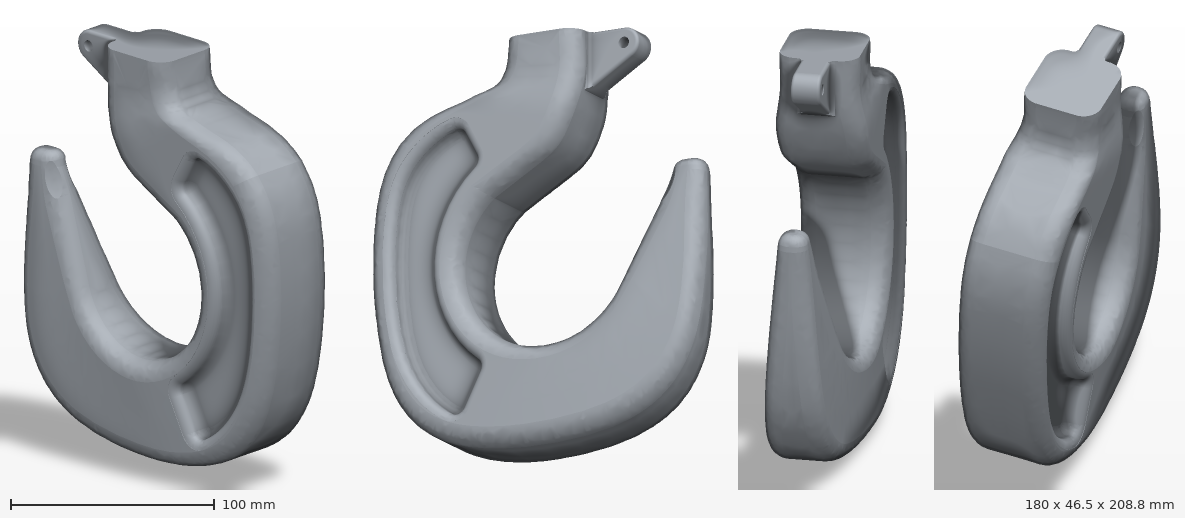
import cadquery as cq
import math


BOWL_RADIUS = 44.7
SHANK_TOP_Z = 114.2
SHANK_INNER_X = -21.3
SHANK_OUTER_X = 20.3
POINT_BASE_Z = 36.1
POINT_TOP_Z = 43.2
POINT_INNER_X = -65.4
POINT_OUTER_X = -84.1
BOWL_ENTRY = (28.2, 34.7)
SHOULDER = (79.3, 69.3)
SHOULDER_DIRECTION = (1, -1)
NOSE_ANGLE = math.radians(206)

EDGE_RADIUS = 9.4
FULL_HALF_THICKNESS = 23.2
SHANK_HALF_THICKNESS = 20.0
SHANK_FLARE_TOP_Z = 96.0
SHANK_FLARE_BOTTOM_Z = 77.3
POINT_HALF_THICKNESS = 7.7
TAPER_START = 0.48
TAPER_SAG = 0.2
THROAT_SECTIONS = 10
HOOK_SECTIONS = 24

POINT_TOP_INNER_X = -67.6
POINT_TOP_OUTER_X = -82.9
POINT_TOP_HALF_THICKNESS = 6.7
POINT_ROUNDING = 5.5
CORNER_SHARE = 0.93

DIMPLE_RADIUS = 31.3
DIMPLE_DEPTH = 1.3
DIMPLE_PLACE = cq.Vector(-66.0, -6.5, 31.3)
DIMPLE_DIRECTION = cq.Vector(0.65, -0.7, 0.29)

POCKET_DEPTH = 9.5
POCKET_ROUND = 4.5
POCKET_CORNER_RADIUS = 5.2
POCKET_RIM_STEP = 0.2
POCKET_MOUTH = 2.0
POCKET_BLOCK = 250.5

LUG_HALF_THICKNESS = 7.3
LUG_HOLE_DIAMETER = 5.8
LUG_END_RADIUS = 8.0
LUG_HOLE_X = -41.0
LUG_HOLE_Z = SHANK_TOP_Z - LUG_END_RADIUS
LUG_ROOT_X = SHANK_INNER_X + EDGE_RADIUS
LUG_SLOPE = math.radians(31)
LUG_EDGE_RADIUS = 1.7
LUG_ROOT_RADIUS = 2.0


def bowl_point(angle):
    return BOWL_RADIUS * math.cos(angle), BOWL_RADIUS * math.sin(angle)


def path(start):
    """Start a path of lines and arcs in the mid-plane."""
    return cq.Workplane("XZ").moveTo(*start)


def shank_curves():
    """Inner and outer outlines from the shank top to the start of the bowl."""
    inner = (
        path((SHANK_INNER_X, SHANK_TOP_Z))
        .lineTo(SHANK_INNER_X, 98.1)
        .spline([(-19.0, 80.4), (-12.7, 64.0), (1.3, 50.0)], tangents=[(0, -1), (2, -1)], includeCurrent=True)
        .lineTo(*BOWL_ENTRY)
        .wire()
        .val()
    )
    outer = (
        path((SHANK_OUTER_X, SHANK_TOP_Z))
        .lineTo(21.3, 104.0)
        .spline([(26.5, 91.9), (36.7, 87.7)], tangents=[(1, -7), (3, -1)], includeCurrent=True)
        .spline([(61.8, 80.5), SHOULDER], tangents=[(3, -1), SHOULDER_DIRECTION], includeCurrent=True)
        .wire()
        .val()
    )
    return inner, outer


def hook_curves():
    """Inner and outer outlines from the start of the bowl to the point."""
    inner = (
        path(BOWL_ENTRY)
        .threePointArc((0, -BOWL_RADIUS), bowl_point(NOSE_ANGLE))
        .lineTo(POINT_INNER_X, POINT_BASE_Z)
        .wire()
        .val()
    )
    outer_points = [
        SHOULDER,
        (89.5, 51.8),
        (94.2, 28.2),
        (95.0, 0.0),
        (92.0, -29.2),
        (83.7, -58.5),
        (67.5, -79.0),
        (36.3, -91.9),
        (0.0, -94.5),
        (-32.4, -91.0),
        (-59.0, -80.0),
        (-76.0, -59.7),
        (-83.5, -27.0),
        (-84.8, 1.5),
        (POINT_OUTER_X, POINT_BASE_Z),
    ]
    return inner, cq.Workplane("XZ").spline(outer_points).wire().val()


def shank_half_thickness(z):
    """Eases from the shank size above the flare to the full size below it."""
    run = (SHANK_FLARE_TOP_Z - z) / (SHANK_FLARE_TOP_Z - SHANK_FLARE_BOTTOM_Z)
    run = min(1, max(0, run))
    ease = run * run * (3 - 2 * run)
    return SHANK_HALF_THICKNESS + (FULL_HALF_THICKNESS - SHANK_HALF_THICKNESS) * ease


def hook_half_thickness(run):
    """Full round the back of the hook, then falling to the thin point."""
    nose_run = max(0, (run - TAPER_START) / (1 - TAPER_START))
    fall = nose_run * (1 - TAPER_SAG * (1 - nose_run))
    return FULL_HALF_THICKNESS - (FULL_HALF_THICKNESS - POINT_HALF_THICKNESS) * fall


def section_wire(inner, outer, half_thickness):
    """Rounded rectangle square to the mid-plane, spanning two points of it."""
    across = outer - inner
    plane = cq.Plane(origin=(inner + outer) / 2, xDir=across, normal=cq.Vector(across.z, 0, -across.x))
    radius = min(EDGE_RADIUS, CORNER_SHARE * half_thickness)
    outline = cq.Sketch().rect(across.Length, 2 * half_thickness).vertices().fillet(radius).reset()
    return outline.faces().val().moved(cq.Location(plane)).outerWire()


def make_branch(curves, count, half_thickness):
    """Loft along an inner and an outer outline; half_thickness takes (run, z)."""
    inner, outer = curves
    wires = []
    for step in range(count + 1):
        run = step / count
        start = inner.positionAt(run)
        end = outer.positionAt(run)
        wires.append(section_wire(start, end, half_thickness(run, (start.z + end.z) / 2)))
    return cq.Workplane(cq.Solid.makeLoft(wires))


def make_point():
    base = section_wire(
        cq.Vector(POINT_INNER_X, 0, POINT_BASE_Z),
        cq.Vector(POINT_OUTER_X, 0, POINT_BASE_Z),
        POINT_HALF_THICKNESS,
    )
    top = section_wire(
        cq.Vector(POINT_TOP_INNER_X, 0, POINT_TOP_Z),
        cq.Vector(POINT_TOP_OUTER_X, 0, POINT_TOP_Z),
        POINT_TOP_HALF_THICKNESS,
    )
    return cq.Workplane(cq.Solid.makeLoft([base, top], True)).faces(">Z").edges().fillet(POINT_ROUNDING)


def make_body():
    shank = make_branch(shank_curves(), THROAT_SECTIONS, lambda run, z: shank_half_thickness(z))
    hook = make_branch(hook_curves(), HOOK_SECTIONS, lambda run, z: hook_half_thickness(run))
    return shank.union(hook).union(make_point())


def lug_profile(half_thickness):
    """Plate with a round end and a sloping underside."""
    normal_x = -math.sin(LUG_SLOPE)
    normal_z = -math.cos(LUG_SLOPE)
    tangent_x = LUG_HOLE_X + LUG_END_RADIUS * normal_x
    tangent_z = LUG_HOLE_Z + LUG_END_RADIUS * normal_z
    root_z = tangent_z - (LUG_ROOT_X - tangent_x) * math.tan(LUG_SLOPE)
    return (
        cq.Workplane("XZ")
        .moveTo(LUG_ROOT_X, SHANK_TOP_Z)
        .lineTo(LUG_HOLE_X, SHANK_TOP_Z)
        .threePointArc((LUG_HOLE_X - LUG_END_RADIUS, LUG_HOLE_Z), (tangent_x, tangent_z))
        .lineTo(LUG_ROOT_X, root_z)
        .close()
        .extrude(half_thickness, both=True)
    )


def make_lug_root():
    """Concave flare on both sides of the lug where it meets the shank."""
    start_x = SHANK_INNER_X - LUG_ROOT_RADIUS
    flare_half = LUG_HALF_THICKNESS + LUG_ROOT_RADIUS
    bow = LUG_ROOT_RADIUS * math.sqrt(0.5)
    flare = (
        cq.Workplane("XY")
        .moveTo(start_x, 0)
        .lineTo(start_x, LUG_HALF_THICKNESS)
        .threePointArc((start_x + bow, flare_half - bow), (SHANK_INNER_X, flare_half))
        .lineTo(LUG_ROOT_X, flare_half)
        .lineTo(LUG_ROOT_X, 0)
        .close()
        .extrude(SHANK_TOP_Z)
    )
    return flare.union(flare.mirror("XZ")).intersect(lug_profile(flare_half))


def make_lug():
    plate = lug_profile(LUG_HALF_THICKNESS)
    plate = plate.faces("<Y or >Y").edges("not(>X)").fillet(LUG_EDGE_RADIUS)
    return plate.union(make_lug_root())


def make_lug_hole():
    return (
        cq.Workplane("XZ")
        .center(LUG_HOLE_X, LUG_HOLE_Z)
        .circle(LUG_HOLE_DIAMETER / 2)
        .extrude(2 * LUG_HALF_THICKNESS, both=True)
    )


def make_pocket():
    """Cutter for the pocket in the -Y flank, with rounded floor and rounded rim."""
    wall_height = POCKET_DEPTH - POCKET_RIM_STEP
    outline = (
        cq.Workplane("XZ", origin=(0, POCKET_DEPTH - FULL_HALF_THICKNESS, 0))
        .moveTo(43.2, 72.2)
        .spline(
            [
                (61.2, 64.3),
                (74.1, 50.1),
                (80.2, 29.2),
                (81.5, 4.2),
                (79.3, -23.0),
                (73.0, -46.0),
                (61.5, -63.7),
                (44.0, -76.5),
            ],
            includeCurrent=True,
        )
        .lineTo(30.7, -50.5)
        .threePointArc((58.9, 1.7), (32.5, 52.6))
        .close()
    )
    hollow = outline.extrude(wall_height).edges("|Y").fillet(POCKET_CORNER_RADIUS)
    hollow = hollow.faces(">Y").edges().fillet(POCKET_ROUND)
    block = (
        cq.Workplane("XZ", origin=(0, POCKET_DEPTH - FULL_HALF_THICKNESS, 0))
        .rect(POCKET_BLOCK, POCKET_BLOCK)
        .extrude(wall_height)
    )
    surround = block.cut(hollow).faces("<Y").edges("not(|X or |Z)").fillet(POCKET_ROUND)
    cutter = block.cut(surround)
    mouth = cutter.faces("<Y").wires().toPending().workplane().extrude(POCKET_MOUTH)
    return cutter.union(mouth)


def make_dimple():
    """Ball cutter for the dimple on the -Y inner edge of the point."""
    centre = DIMPLE_PLACE + DIMPLE_DIRECTION.normalized() * (DIMPLE_RADIUS - DIMPLE_DEPTH)
    return cq.Workplane("XY").sphere(DIMPLE_RADIUS).translate(centre)


result = make_body().union(make_lug()).cut(make_lug_hole())
for cutter in (make_pocket(), make_dimple()):
    result = result.cut(cutter).cut(cutter.mirror("XZ"))